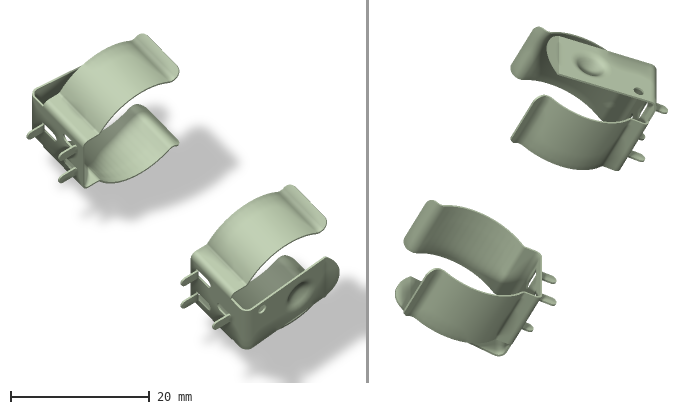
import cadquery as cq
import math


overall_length = 51.55
overall_height = 18.8
sheet = 0.3
end_x = -overall_length / 2
inner_edge_x = -12.85
plate_height = 8.85

cell_y = 10.55
arm_crest_radius = overall_height / 2
arm_width = 9.5
arm_root_height = 5.45
arm_root_radius = arm_root_height - plate_height / 2
arm_neck_radius = 0.45
arm_lip_radius = 1.05
arm_lip_start_y = 15.7
arm_lip_angle = 35.0
arm_end_y = 18.1
arm_corner_radius = 1.3

spring_bend_radius = 1.3
spring_lean = math.radians(5.0)
spring_tip_flare = math.radians(15.0)
spring_tip_start_y = 15.55
spring_tip_end_y = 17.7

dimple_radius = 3.15
dimple_depth = 1.3
dimple_sphere_radius = 2.8
hole_diameter = 1.6
hole_y = 3.25
hole_z = -2.9

tab_width = 1.6
tab_length = 3.1
tab_bend_radius = 0.3
tab_pitch = 2.6
slot_length = 3.45
outer_slot_x = -22.6
inner_slot_x = -14.15
tab_layout = [
    (outer_slot_x, 0.0, 1),
    (inner_slot_x, tab_pitch, -1),
    (inner_slot_x, -tab_pitch, -1),
]


def polar(centre, radius, angle):
    """Point at a radius and an angle (radians) from a centre."""
    return (centre[0] + radius * math.cos(angle), centre[1] + radius * math.sin(angle))


def add_arc(outline, centre, radius, start, end):
    """Extend an outline with an arc that begins at the outline's last point."""
    return outline.threePointArc(polar(centre, radius, (start + end) / 2), polar(centre, radius, end))


def make_mounting_plate():
    bend_x = end_x + spring_bend_radius
    plate_length = inner_edge_x - bend_x
    return cq.Workplane("XY").box(plate_length, sheet, plate_height).translate(
        (bend_x + plate_length / 2, sheet / 2, 0)
    )


def make_upper_arm():
    root = (arm_root_radius, arm_root_height - arm_root_radius)
    cell = (cell_y, 0.0)

    neck_z = arm_root_height + arm_neck_radius
    neck_reach = arm_crest_radius + arm_neck_radius
    neck = (cell_y - math.sqrt(neck_reach**2 - neck_z**2), neck_z)
    neck_angle = math.pi - math.asin(neck_z / neck_reach)

    lip_angle = math.acos((arm_lip_start_y - cell_y) / arm_crest_radius)
    lip = polar(cell, arm_crest_radius + arm_lip_radius, lip_angle)
    rise = math.radians(arm_lip_angle)
    lip_start = lip_angle - math.pi
    lip_end = rise - math.pi / 2

    lip_far_top = polar(lip, arm_lip_radius, lip_end)
    lip_far_bottom = polar(lip, arm_lip_radius + sheet, lip_end)
    lip_length = (arm_end_y - lip_far_bottom[0]) / math.cos(rise)

    outline = cq.Workplane("YZ", origin=(inner_edge_x - arm_width, 0, 0)).moveTo(0, root[1])
    outline = add_arc(outline, root, arm_root_radius, math.pi, math.pi / 2)
    outline = outline.lineTo(neck[0], arm_root_height)
    outline = add_arc(outline, neck, arm_neck_radius, -math.pi / 2, neck_angle - math.pi)
    outline = add_arc(outline, cell, arm_crest_radius, neck_angle, lip_angle)
    outline = add_arc(outline, lip, arm_lip_radius, lip_start, lip_end)
    outline = outline.lineTo(*polar(lip_far_top, lip_length, rise))
    outline = outline.lineTo(*polar(lip_far_bottom, lip_length, rise))
    outline = outline.lineTo(*lip_far_bottom)
    outline = add_arc(outline, lip, arm_lip_radius + sheet, lip_end, lip_start)
    outline = add_arc(outline, cell, arm_crest_radius - sheet, lip_angle, neck_angle)
    outline = add_arc(outline, neck, arm_neck_radius + sheet, neck_angle - math.pi, -math.pi / 2)
    outline = outline.lineTo(root[0], arm_root_height - sheet)
    outline = add_arc(outline, root, arm_root_radius - sheet, math.pi / 2, math.pi)
    arm = outline.close().extrude(arm_width)
    return arm.faces(">Y").edges("#X").fillet(arm_corner_radius)


def spring_outer_point(y):
    """Point in XY on the outer face of the leaning part of the end spring."""
    bend = (end_x + spring_bend_radius, spring_bend_radius)
    tangent = polar(bend, spring_bend_radius, math.pi - spring_lean)
    return (tangent[0] + (y - tangent[1]) * math.tan(spring_lean), y)


def make_end_spring():
    bend = (end_x + spring_bend_radius, spring_bend_radius)
    bend_start = 3 * math.pi / 2
    bend_end = math.pi - spring_lean

    half_fold = (spring_lean + spring_tip_flare) / 2
    fold_outer = spring_outer_point(spring_tip_start_y)
    fold_inner = polar(fold_outer, sheet / math.cos(half_fold), half_fold - spring_lean)

    tip_length = (spring_tip_end_y - fold_outer[1]) / math.cos(spring_tip_flare)
    tip_outer = polar(fold_outer, tip_length, math.pi / 2 + spring_tip_flare)
    tip_inner = polar(tip_outer, sheet, spring_tip_flare)

    outline = cq.Workplane("XY", origin=(0, 0, -plate_height / 2)).moveTo(bend[0], 0)
    outline = add_arc(outline, bend, spring_bend_radius, bend_start, bend_end)
    outline = outline.lineTo(*fold_outer).lineTo(*tip_outer).lineTo(*tip_inner).lineTo(*fold_inner)
    outline = outline.lineTo(*polar(bend, spring_bend_radius - sheet, bend_end))
    outline = add_arc(outline, bend, spring_bend_radius - sheet, bend_end, bend_start)
    spring = outline.close().extrude(plate_height)

    half_height = plate_height / 2
    silhouette = (
        cq.Workplane("YZ", origin=(end_x, 0, 0))
        .moveTo(0, -half_height)
        .lineTo(spring_tip_start_y, -half_height)
        .threePointArc((spring_tip_end_y, 0), (spring_tip_start_y, half_height))
        .lineTo(0, half_height)
        .close()
        .extrude(inner_edge_x - end_x)
    )
    hole = (
        cq.Workplane("YZ", origin=(end_x, 0, 0))
        .center(hole_y, hole_z)
        .circle(hole_diameter / 2)
        .extrude(inner_edge_x - end_x)
    )
    return add_dimple(spring.intersect(silhouette).cut(hole))


def add_dimple(spring):
    """Replace a disc of the end spring by a round dimple pressed towards the cell."""
    centre_x, centre_y = spring_outer_point(cell_y)
    plane = cq.Plane(
        origin=(centre_x, centre_y, 0),
        xDir=(0, 0, 1),
        normal=(math.sin(spring_lean), math.cos(spring_lean), 0),
    )
    slope = 2 * math.atan(dimple_depth / dimple_radius)
    rim_radius = dimple_radius / math.sin(slope) - dimple_sphere_radius
    rim = (dimple_radius, rim_radius)
    sphere = (0.0, dimple_depth - dimple_sphere_radius)
    rim_start = -math.pi / 2
    rim_end = rim_start - slope
    sphere_start = math.pi / 2 - slope
    sphere_end = math.pi / 2

    outline = cq.Workplane(plane).moveTo(dimple_radius, 0)
    outline = add_arc(outline, rim, rim_radius, rim_start, rim_end)
    outline = add_arc(outline, sphere, dimple_sphere_radius, sphere_start, sphere_end)
    outline = outline.lineTo(0, dimple_depth + sheet)
    outline = add_arc(outline, sphere, dimple_sphere_radius + sheet, sphere_end, sphere_start)
    outline = add_arc(outline, rim, rim_radius - sheet, rim_end, rim_start)
    dimple = outline.close().revolve(360, (0, 0), (0, 1))

    disc = (
        cq.Workplane(plane)
        .lineTo(dimple_radius, 0)
        .lineTo(dimple_radius, sheet)
        .lineTo(0, sheet)
        .close()
        .revolve(360, (0, 0), (0, 1))
    )
    return spring.cut(disc).union(dimple)


def make_slot(bend_end_x, z, direction):
    end_radius = tab_width / 2
    straight_end = bend_end_x + direction * (slot_length - end_radius)
    return (
        cq.Workplane("XZ", origin=(0, sheet, 0))
        .moveTo(bend_end_x, z - end_radius)
        .lineTo(straight_end, z - end_radius)
        .threePointArc((straight_end + direction * end_radius, z), (straight_end, z + end_radius))
        .lineTo(bend_end_x, z + end_radius)
        .close()
        .extrude(sheet)
    )


def make_tab(bend_end_x, z, direction):
    near_x = bend_end_x + direction * tab_bend_radius
    far_x = near_x + direction * sheet
    bend = (bend_end_x, -tab_bend_radius)
    bend_start = math.pi / 2
    bend_end = bend_start - direction * math.pi / 2

    outline = cq.Workplane("XY", origin=(0, 0, z - tab_width / 2)).moveTo(bend_end_x, sheet)
    outline = add_arc(outline, bend, tab_bend_radius + sheet, bend_start, bend_end)
    outline = outline.lineTo(far_x, -tab_length).lineTo(near_x, -tab_length)
    outline = outline.lineTo(near_x, -tab_bend_radius)
    outline = add_arc(outline, bend, tab_bend_radius, bend_end, bend_start)
    tab = outline.close().extrude(tab_width)

    end_radius = tab_width / 2
    straight_end = end_radius - tab_length
    silhouette = (
        cq.Workplane("YZ", origin=(min(bend_end_x, far_x), 0, z))
        .moveTo(sheet, -end_radius)
        .lineTo(straight_end, -end_radius)
        .threePointArc((-tab_length, 0), (straight_end, end_radius))
        .lineTo(sheet, end_radius)
        .close()
        .extrude(abs(far_x - bend_end_x))
    )
    return tab.intersect(silhouette)


def make_contact():
    upper_arm = make_upper_arm()
    contact = make_mounting_plate().union(make_end_spring())
    contact = contact.union(upper_arm).union(upper_arm.mirror("XY"))
    for bend_end_x, z, direction in tab_layout:
        contact = contact.cut(make_slot(bend_end_x, z, direction))
        contact = contact.union(make_tab(bend_end_x, z, direction))
    return contact


contact = make_contact()
contacts = [contact.rotate((0, 0, 0), (0, 1, 0), turn) for turn in (0, 180)]

result = cq.Compound.makeCompound([body.val() for body in contacts])